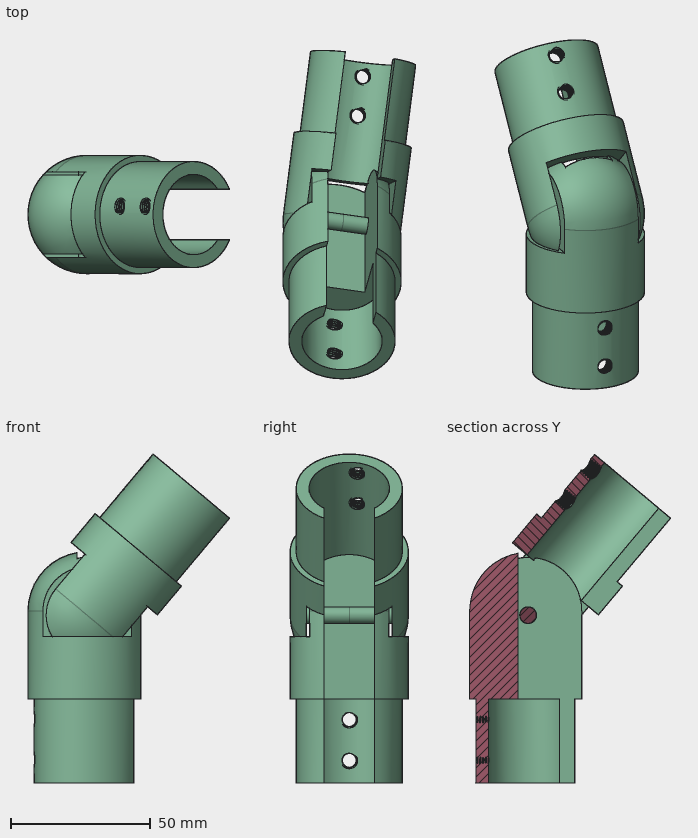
import cadquery as cq

tube_diameter = 38.0
tube_radius = tube_diameter / 2
bore_radius = 14.4
collar_radius = 21.2
glass_slot_width = 18.0
glass_slot_start = -3.5
bend_angle = 40.0
pivot_height = 60.1

lower_collar_start = 30.0
tongue_start = 52.4
tongue_width = 28.3
dome_height = 61.6

upper_length = 59.4
upper_collar_end = 29.7
fork_root = 16.3
fork_gap = 30.6

pin_diameter = 6.0
pin_length = 36.5
thread_core_diameter = 5.0
thread_diameter = 6.0
thread_pitch = 1.0
thread_tooth_fill = 0.8
thread_overlap = 0.1
lower_screw_heights = (8.1, 22.7)
upper_screw_distances = (40.3, 54.4)
upper_screw_offset = 3.0

reach = 2 * upper_length


def cylinder_z(radius, start, end):
    """Cylinder on the Z axis between two heights."""
    return cq.Workplane("XY").workplane(offset=start).circle(radius).extrude(end - start)


def glass_slot():
    """Slot along the whole arm, open towards +X."""
    return (
        cq.Workplane("XY")
        .box(reach, glass_slot_width, 2 * reach, centered=(False, True, True))
        .translate((glass_slot_start, 0, 0))
    )


def thread_cutter():
    """Core hole and helical groove of a set screw thread, along -X from the origin."""
    core_radius = thread_core_diameter / 2
    root_radius = core_radius - thread_overlap
    half_tooth = thread_tooth_fill * thread_pitch / 2
    thread_start = bore_radius - thread_pitch / 2
    thread_length = tube_radius - bore_radius + 2 * thread_pitch
    path = cq.Wire.makeHelix(thread_pitch, thread_length, root_radius)
    groove = (
        cq.Workplane("XZ")
        .moveTo(root_radius, -half_tooth)
        .lineTo(thread_diameter / 2, 0)
        .lineTo(root_radius, half_tooth)
        .close()
        .sweep(cq.Workplane(path), isFrenet=True)
        .translate((0, 0, thread_start))
    )
    core = cylinder_z(core_radius, 0, collar_radius)
    return core.union(groove).rotate((0, 0, 0), (0, 1, 0), -90)


def screw_hole(height, offset=0.0):
    """Threaded set screw hole through the -X wall of a tube."""
    return thread_cutter().translate((0, offset, height))


def make_upper_arm():
    """Tube and collar with two round-ended fork cheeks, tilted about the pin."""
    arm = cylinder_z(collar_radius, 0, upper_collar_end)
    arm = arm.union(cq.Workplane("XY").sphere(collar_radius))
    arm = arm.intersect(cylinder_z(collar_radius, -collar_radius, upper_collar_end))
    arm = arm.union(cylinder_z(tube_radius, fork_root, upper_length))
    gap = (
        cq.Workplane("XY")
        .box(reach, fork_gap, reach, centered=(True, True, False))
        .translate((0, 0, fork_root - reach))
    )
    arm = arm.cut(gap)
    arm = arm.cut(cylinder_z(bore_radius, fork_root, upper_length))
    arm = arm.cut(glass_slot())
    for distance in upper_screw_distances:
        arm = arm.cut(screw_hole(distance, upper_screw_offset))
    return arm.rotate((0, 0, 0), (0, 1, 0), bend_angle).translate((0, 0, pivot_height))


def tongue_dome():
    """Ball that rounds the end of the lower arm's tongue."""
    return cq.Workplane("XY").sphere(collar_radius).translate((0, 0, dome_height))


def make_lower_arm():
    """Tube and collar with a central domed tongue."""
    arm = cylinder_z(collar_radius, lower_collar_start, dome_height)
    arm = arm.union(tongue_dome())
    arm = arm.union(cylinder_z(tube_radius, 0, lower_collar_start))
    side_relief = cq.Workplane("XY").box(reach, reach, reach, centered=(True, False, False))
    for side in (0, 180):
        relief = side_relief.translate((0, tongue_width / 2, tongue_start))
        arm = arm.cut(relief.rotate((0, 0, 0), (0, 0, 1), side))
    arm = arm.cut(cylinder_z(bore_radius, 0, lower_collar_start))
    arm = arm.cut(glass_slot())
    for height in lower_screw_heights:
        arm = arm.cut(screw_hole(height))
    return arm


def make_pin():
    """Hinge pin along Y, ending inside the fork cheeks."""
    return (
        cq.Workplane("XZ")
        .center(0, pivot_height)
        .circle(pin_diameter / 2)
        .extrude(pin_length / 2, both=True)
    )


pin = make_pin()
upper_arm = make_upper_arm().cut(pin)
lower_arm = make_lower_arm().cut(upper_arm).cut(pin)

result = cq.Compound.makeCompound([lower_arm.val(), upper_arm.val(), pin.val()])